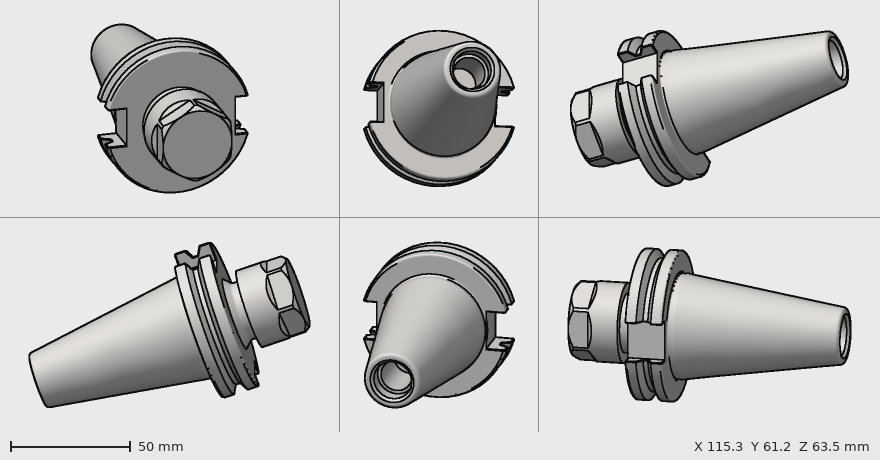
import cadquery as cq
import math

total_length = 115.32

cut_clearance = 1.0
match_tolerance = 0.001

gauge_diameter = 44.45
gauge_x = 68.25
small_end_diameter = 23.87
small_end_round = 1.59
shank_fillet = 0.79

flange_diameter = 63.5
flange_x = 71.43
flange_width = 15.88
flange_end_x = flange_x + flange_width
front_rim_round = 0.9
back_rim_round = 0.75
groove_center_x = 79.4
groove_root_diameter = 56.2
groove_root_width = 2.1
groove_half_angle = 30

slot_width = 16.35
slot_edge_chamfer = 0.4
deep_slot_floor = 22.4
shallow_slot_floor = 24.9

neck_diameter = 25.0
neck_cone_diameter = 30.9
neck_cone_angle = 45
neck_fillet = 1.7

nut_diameter = 33.8
nut_x = 93.86
nut_flat_count = 6
nut_across_flats = 30.0
nut_ramp_angle = 45
nut_flat_x = 106.8
nut_end_diameter = 30.0
nut_end_chamfer_length = 2.1

bore_diameter = 16.26
bore_depth = 7.6
bore_mouth_diameter = 18.75
thread_hole_diameter = 13.39
thread_hole_depth = 30.0


def revolve_around_x(outline):
    return outline.close().revolve(360, (0, 0, 0), (1, 0, 0))


def round_circle(body, x, radius, round_radius):
    """Fillet the circular edge of the given radius that lies in the plane at x."""
    circles = []
    for edge in body.edges("%CIRCLE").vals():
        at_x = abs(edge.Center().x - x) < match_tolerance
        if at_x and abs(edge.radius() - radius) < match_tolerance:
            circles.append(edge)
    return body.newObject(circles).fillet(round_radius)


def make_shank_and_flange():
    gauge_radius = gauge_diameter / 2
    small_end_radius = small_end_diameter / 2
    flange_radius = flange_diameter / 2
    outline = (
        cq.Workplane("XY")
        .lineTo(0, small_end_radius)
        .lineTo(gauge_x, gauge_radius)
        .lineTo(flange_x, gauge_radius)
        .lineTo(flange_x, flange_radius)
        .lineTo(flange_end_x, flange_radius)
        .lineTo(flange_end_x, 0)
    )
    body = revolve_around_x(outline)
    body = round_circle(body, 0, small_end_radius, small_end_round)
    body = round_circle(body, flange_x, gauge_radius, shank_fillet)
    body = round_circle(body, flange_x, flange_radius, front_rim_round)
    return round_circle(body, flange_end_x, flange_radius, back_rim_round)


def make_groove():
    root_radius = groove_root_diameter / 2
    top_radius = flange_diameter / 2 + cut_clearance
    half_root = groove_root_width / 2
    half_top = half_root + (top_radius - root_radius) * math.tan(math.radians(groove_half_angle))
    outline = (
        cq.Workplane("XY")
        .moveTo(groove_center_x - half_root, root_radius)
        .lineTo(groove_center_x + half_root, root_radius)
        .lineTo(groove_center_x + half_top, top_radius)
        .lineTo(groove_center_x - half_top, top_radius)
    )
    return revolve_around_x(outline)


def make_slot(floor, side):
    """Slot through the flange on the +Y (side = 1) or -Y (side = -1) side."""
    depth = flange_diameter / 2 + cut_clearance - floor
    slot = cq.Workplane("XY").box(flange_width, depth, slot_width, centered=(False, True, True))
    return slot.translate((flange_x, side * (floor + depth / 2), 0))


def chamfer_slot_walls(body):
    """Chamfer the slot walls all around, except along the slot floors."""
    edges = []
    for wall in body.faces("|Z").vals():
        floor = min(abs(vertex.Y) for vertex in wall.Vertices())
        for edge in wall.Edges():
            if abs(edge.Center().y) > floor + match_tolerance:
                edges.append(edge)
    return body.newObject(edges).chamfer(slot_edge_chamfer)


def make_neck():
    """45 degree cone behind the flange, blended by a tangent fillet into the cylindrical neck."""
    neck_radius = neck_diameter / 2
    cone_radius = neck_cone_diameter / 2
    cone_angle = math.radians(neck_cone_angle)
    cone_end_x = flange_end_x + (cone_radius - neck_radius) / math.tan(cone_angle)
    tangent_length = neck_fillet * math.tan(cone_angle / 2)
    fillet_end_x = cone_end_x + tangent_length
    fillet_start = (
        cone_end_x - tangent_length * math.cos(cone_angle),
        neck_radius + tangent_length * math.sin(cone_angle),
    )
    fillet_middle = (
        fillet_end_x - neck_fillet * math.sin(cone_angle / 2),
        neck_radius + neck_fillet * (1 - math.cos(cone_angle / 2)),
    )
    outline = (
        cq.Workplane("XY")
        .moveTo(flange_end_x, 0)
        .lineTo(flange_end_x, cone_radius)
        .lineTo(*fillet_start)
        .threePointArc(fillet_middle, (fillet_end_x, neck_radius))
        .lineTo(nut_x, neck_radius)
        .lineTo(nut_x, 0)
    )
    return revolve_around_x(outline)


def make_flat_cutter():
    """Cutter for the +Y wrench flat, which runs out to the nut surface along a ramp."""
    flat_radius = nut_across_flats / 2
    top_radius = nut_diameter / 2 + cut_clearance
    ramp_length = (top_radius - flat_radius) / math.tan(math.radians(nut_ramp_angle))
    cutter_end_x = total_length + cut_clearance
    return (
        cq.Workplane("XY")
        .moveTo(nut_flat_x, flat_radius)
        .lineTo(cutter_end_x, flat_radius)
        .lineTo(cutter_end_x, top_radius)
        .lineTo(nut_flat_x - ramp_length, top_radius)
        .close()
        .extrude(nut_diameter / 2, both=True)
    )


def make_nut():
    nut_radius = nut_diameter / 2
    outline = (
        cq.Workplane("XY")
        .moveTo(nut_x, 0)
        .lineTo(nut_x, nut_radius)
        .lineTo(total_length - nut_end_chamfer_length, nut_radius)
        .lineTo(total_length, nut_end_diameter / 2)
        .lineTo(total_length, 0)
    )
    nut = revolve_around_x(outline)
    flat_cutter = make_flat_cutter()
    for index in range(nut_flat_count):
        angle = index * 360 / nut_flat_count
        nut = nut.cut(flat_cutter.rotate((0, 0, 0), (1, 0, 0), angle))
    return nut


def make_bore():
    """Bore with a 45 degree countersunk mouth, followed by a smaller blind thread hole."""
    bore_radius = bore_diameter / 2
    mouth_radius = bore_mouth_diameter / 2
    thread_radius = thread_hole_diameter / 2
    countersink_depth = mouth_radius - bore_radius
    outline = (
        cq.Workplane("XY")
        .lineTo(0, mouth_radius)
        .lineTo(countersink_depth, bore_radius)
        .lineTo(bore_depth, bore_radius)
        .lineTo(bore_depth, thread_radius)
        .lineTo(thread_hole_depth, thread_radius)
        .lineTo(thread_hole_depth, 0)
    )
    return revolve_around_x(outline)


holder = make_shank_and_flange().cut(make_groove())
holder = holder.cut(make_slot(deep_slot_floor, -1)).cut(make_slot(shallow_slot_floor, 1))
holder = chamfer_slot_walls(holder)
result = holder.union(make_neck()).union(make_nut()).cut(make_bore())